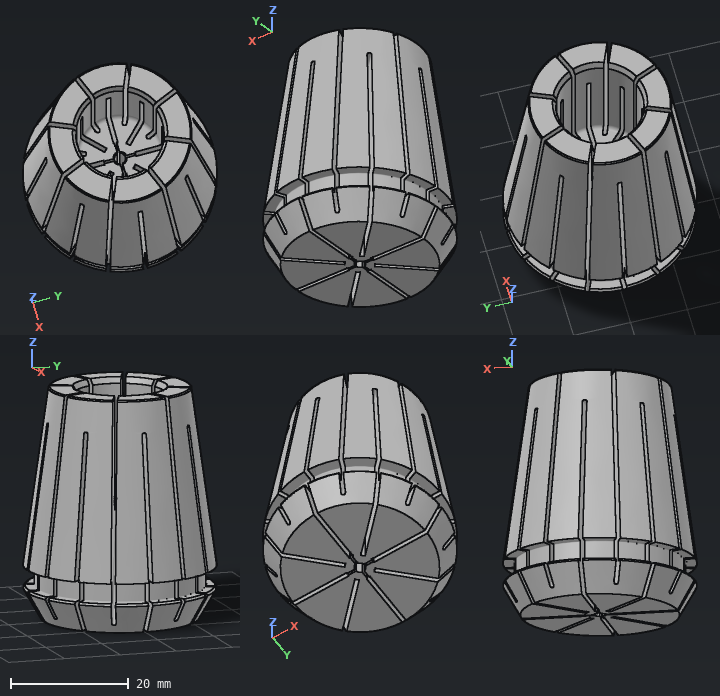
import cadquery as cq
import math

height = 40.0
max_diameter = 33.0
max_radius = max_diameter / 2
cone_angle = 8.0
top_chamfer = 0.25

flange_top = 5.55
flange_rim = 5.15
flange_edge_radius = 16.1
flange_radius = 16.5
nose_radius = 13.5
groove_top = 9.1
groove_radius = 14.6
groove_fillet = 0.15

bore_radius = 7.5
bore_chamfer_radius = 8.1
bore_chamfer_depth = 1.05
bore_floor = 20.0
floor_fillet = 0.75
pilot_radius = 0.95
pilot_chamfer = 0.2

slot_count = 8
slot_pitch = 360.0 / slot_count
slot_width = 0.75
lower_slot_top = 34.4

core_radius = 2.55
core_top_radius = 2.8
core_arc_start = 15.1

upper_slot_bottom = 1.5
upper_slot_inner_radius = 5.75
upper_slot_outer_radius = nose_radius + upper_slot_bottom * (flange_radius - nose_radius) / flange_rim
upper_slot_depth = 24.0

cross_slit_width = 0.4

overrun = 0.4
slot_reach = max_radius + overrun


def make_body():
    """Solid of revolution: clamping cone, groove, nose flange and blind stepped bore."""
    top_radius = max_radius - (height - groove_top) * math.tan(math.radians(cone_angle))
    chamfer_z = height - top_chamfer
    chamfer_r = top_radius + top_chamfer * math.tan(math.radians(cone_angle))
    return (
        cq.Workplane("XZ")
        .moveTo(pilot_radius, 0)
        .lineTo(nose_radius, 0)
        .lineTo(flange_radius, flange_rim)
        .lineTo(flange_edge_radius, flange_top)
        .lineTo(groove_radius + groove_fillet, flange_top)
        .tangentArcPoint((groove_radius, flange_top + groove_fillet), relative=False)
        .lineTo(groove_radius, groove_top - groove_fillet)
        .tangentArcPoint((groove_radius + groove_fillet, groove_top), relative=False)
        .lineTo(max_radius, groove_top)
        .lineTo(chamfer_r, chamfer_z)
        .lineTo(chamfer_r - top_chamfer, height)
        .lineTo(bore_chamfer_radius, height)
        .lineTo(bore_radius, height - bore_chamfer_depth)
        .lineTo(bore_radius, bore_floor + floor_fillet)
        .tangentArcPoint((bore_radius - floor_fillet, bore_floor), relative=False)
        .lineTo(pilot_radius + pilot_chamfer, bore_floor)
        .lineTo(pilot_radius, bore_floor - pilot_chamfer)
        .close()
        .revolve(360, (0, 0), (0, 1))
    )


def make_lower_slot():
    """Slot open at the bottom, with a round upper end and an inner end curved like a saw blade."""
    half = slot_width / 2
    slot = (
        cq.Workplane("YZ")
        .moveTo(-half, -overrun)
        .lineTo(half, -overrun)
        .lineTo(half, lower_slot_top - half)
        .threePointArc((0, lower_slot_top), (-half, lower_slot_top - half))
        .close()
        .extrude(slot_reach)
    )
    core = (
        cq.Workplane("XZ")
        .moveTo(0, -overrun)
        .lineTo(core_radius, -overrun)
        .lineTo(core_radius, core_arc_start)
        .tangentArcPoint((core_top_radius, bore_floor), relative=False)
        .lineTo(core_top_radius, bore_floor + overrun)
        .lineTo(0, bore_floor + overrun)
        .close()
        .extrude(slot_width, both=True)
    )
    return slot.cut(core)


def make_upper_slot():
    """Slot open at the top, its round bottom sloping down from the bore floor to the nose."""
    half = slot_width / 2
    run = upper_slot_outer_radius - upper_slot_inner_radius
    drop = bore_floor - upper_slot_bottom
    slope = math.degrees(math.atan2(drop, run))
    slot = (
        cq.Workplane("YZ", origin=(-height, 0, 0))
        .moveTo(-half, upper_slot_depth)
        .lineTo(-half, half)
        .threePointArc((0, 0), (half, half))
        .lineTo(half, upper_slot_depth)
        .close()
        .extrude(2 * height)
    )
    tilted = slot.rotate((0, 0, 0), (0, 1, 0), slope)
    return tilted.translate((upper_slot_inner_radius, 0, bore_floor))


def make_cross_slit():
    """Two narrow crossing slits that split the core below the bore floor."""
    slit_length = 2 * (core_top_radius + slot_width)
    slit = cq.Workplane("XY").rect(slit_length, cross_slit_width).extrude(bore_floor)
    return slit.union(slit.rotate((0, 0, 0), (0, 0, 1), 90))


result = make_body()
lower_slot = make_lower_slot()
upper_slot = make_upper_slot()
for i in range(slot_count):
    angle = i * slot_pitch
    result = result.cut(lower_slot.rotate((0, 0, 0), (0, 0, 1), angle))
    result = result.cut(upper_slot.rotate((0, 0, 0), (0, 0, 1), angle + slot_pitch / 2))
result = result.cut(make_cross_slit())